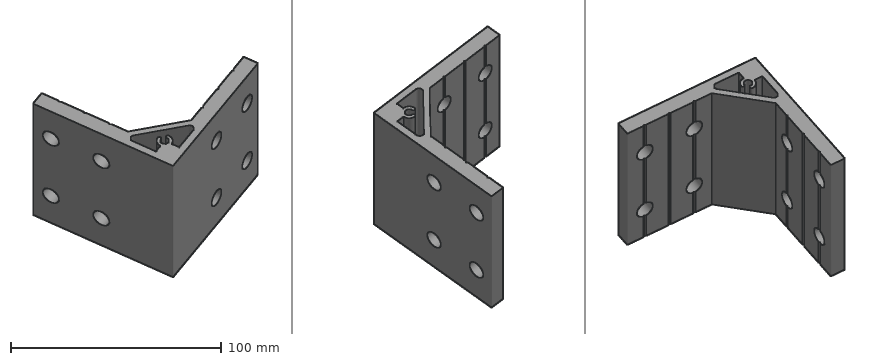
import cadquery as cq
import math

SIZE = 78.0
WALL = 8.0
EDGE_RADIUS = 0.3

WEB_REACH = 29.95
WEB_THICKNESS = 3.1
CAVITY_WALL = 3.8
CAVITY_CORNER_RADIUS = 2.0

CHANNEL_CENTRE = 11.9
CHANNEL_INNER_RADIUS = 2.0
CHANNEL_OUTER_RADIUS = 3.8

FIRST_MARK = 10.0
MARK_PITCH = 14.05
GROOVE_WIDTH = 1.55
GROOVE_DEPTH = 0.5
MARKS = [SIZE - FIRST_MARK - i * MARK_PITCH for i in range(3)]

HOLE_DIAMETER = 9.0
HOLE_SPACING_Z = 40.0
HOLE_MARKS = [MARKS[0], MARKS[2]]



def prism(points):
    """Full-height prism on a closed outline."""
    return cq.Workplane("XY").polyline(points).close().extrude(SIZE)


def channel_cylinder(radius):
    """Full-height cylinder on the axis of the screw channel."""
    return cq.Workplane("XY").center(CHANNEL_CENTRE, CHANNEL_CENTRE).circle(radius).extrude(SIZE)


def body():
    """Both walls and the filled web, with the outer corner and free ends eased."""
    solid = prism([
        (0, 0),
        (SIZE, 0),
        (SIZE, WALL),
        (WEB_REACH, WALL),
        (WALL, WEB_REACH),
        (WALL, SIZE),
        (0, SIZE),
    ])
    for corner in ["<X and <Y", ">X", ">Y"]:
        solid = solid.edges("|Z").edges(corner).fillet(EDGE_RADIUS)
    return solid


def channel_ring():
    """Open ring around the screw channel, with round lips at its two ends."""
    middle_radius = (CHANNEL_INNER_RADIUS + CHANNEL_OUTER_RADIUS) / 2
    lip_radius = (CHANNEL_OUTER_RADIUS - CHANNEL_INNER_RADIUS) / 2
    centred = cq.Workplane("XY").center(CHANNEL_CENTRE, CHANNEL_CENTRE)
    opening = centred.rect(SIZE, SIZE, centered=False).extrude(SIZE)
    lips = (
        cq.Workplane("XY")
        .center(CHANNEL_CENTRE, CHANNEL_CENTRE)
        .pushPoints([(middle_radius, 0), (0, middle_radius)])
        .circle(lip_radius)
        .extrude(SIZE)
    )
    ring = channel_cylinder(CHANNEL_OUTER_RADIUS).cut(channel_cylinder(CHANNEL_INNER_RADIUS))
    return ring.cut(opening).union(lips)


def cavity():
    """Empty space behind the web, around and inside the screw channel."""
    tip = WEB_REACH + WALL - WEB_THICKNESS * math.sqrt(2) - CAVITY_WALL
    space = prism([(CAVITY_WALL, CAVITY_WALL), (tip, CAVITY_WALL), (CAVITY_WALL, tip)])
    space = space.edges("|Z and (>X or >Y)").fillet(CAVITY_CORNER_RADIUS)
    block = cq.Workplane("XY").rect(CHANNEL_CENTRE, CHANNEL_CENTRE, centered=False).extrude(SIZE)
    return space.cut(block).union(channel_cylinder(CHANNEL_INNER_RADIUS)).cut(channel_ring())


def groove(mark):
    half_width = GROOVE_WIDTH / 2
    return prism([
        (mark - half_width, WALL),
        (mark + half_width, WALL),
        (mark, WALL - GROOVE_DEPTH),
    ])


def bolt_holes():
    heights = [SIZE / 2 + side * HOLE_SPACING_Z / 2 for side in (-1, 1)]
    points = [(mark, height) for mark in HOLE_MARKS for height in heights]
    return cq.Workplane("XZ").pushPoints(points).circle(HOLE_DIAMETER / 2).extrude(-WALL)


def on_both_walls(cutter):
    """The cutter for the wall along +X, joined by its mirror image for the other wall."""
    swapped = cutter.mirror("YZ").rotate((0, 0, 0), (0, 0, 1), -90)
    return cutter.union(swapped)


wall_cuts = bolt_holes()
for mark in MARKS:
    wall_cuts = wall_cuts.union(groove(mark))

bracket = body().cut(cavity()).cut(on_both_walls(wall_cuts))

turned = bracket.rotate((0, 0, 0), (0, 0, 1), 90)
result = turned.translate((SIZE / 2, -SIZE / 2, -SIZE / 2))